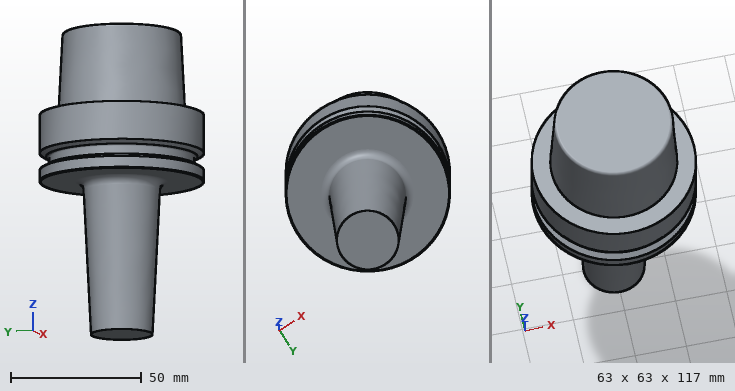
import cadquery as cq

total_height = 117.0

nose_tip_radius = 11.8
nose_root_radius = 14.6
nose_root_z = 55.8
neck_fillet_width = 3.0
neck_sag = 0.9

flange_radius = 31.5
flange_bottom_z = 59.2
flange_top_z = 85.2
flange_edge_chamfer = 0.4
groove_floor_radius = 27.7
groove_bottom_z = 65.2
groove_top_z = 69.0
groove_bevel_width = 2.5
groove_bevel_height = 1.4
groove_corner_fillet = 0.7

shank_base_radius = 24.3
shank_top_radius = 22.7
shank_edge_fillet = 1.2


def revolve_profile(profile):
    """Turn a closed (radius, z) profile about the Z axis."""
    return profile.close().revolve(360, (0, 0, 0), (0, 1, 0))


def make_nose():
    """Slender cone that flares into the underside of the flange."""
    neck_middle = (nose_root_radius + neck_sag, flange_bottom_z - neck_sag)
    return revolve_profile(
        cq.Workplane("XZ")
        .lineTo(nose_tip_radius, 0)
        .lineTo(nose_root_radius, nose_root_z)
        .threePointArc(neck_middle, (nose_root_radius + neck_fillet_width, flange_bottom_z))
        .lineTo(0, flange_bottom_z)
    )


def make_flange():
    """Flange disc with a lower edge chamfer."""
    disc = (
        cq.Workplane("XY", origin=(0, 0, flange_bottom_z))
        .circle(flange_radius)
        .extrude(flange_top_z - flange_bottom_z)
    )
    return disc.faces("<Z").edges().chamfer(flange_edge_chamfer)


def make_groove():
    """Ring-shaped cutter: flat groove, rounded floor corners and bevelled mouth."""
    bevel_start_radius = flange_radius - groove_bevel_width
    ring = revolve_profile(
        cq.Workplane("XZ")
        .moveTo(groove_floor_radius, groove_bottom_z)
        .lineTo(bevel_start_radius, groove_bottom_z)
        .lineTo(flange_radius, groove_bottom_z - groove_bevel_height)
        .lineTo(flange_radius, groove_top_z + groove_bevel_height)
        .lineTo(bevel_start_radius, groove_top_z)
        .lineTo(groove_floor_radius, groove_top_z)
    )
    floor_edges = ring.edges(cq.selectors.RadiusNthSelector(0))
    return floor_edges.fillet(groove_corner_fillet)


def make_shank():
    """Taper shank with a rounded top edge."""
    cone = revolve_profile(
        cq.Workplane("XZ")
        .moveTo(0, flange_top_z)
        .lineTo(shank_base_radius, flange_top_z)
        .lineTo(shank_top_radius, total_height)
        .lineTo(0, total_height)
    )
    return cone.faces(">Z").edges().fillet(shank_edge_fillet)


result = make_flange().cut(make_groove()).union(make_nose()).union(make_shank())